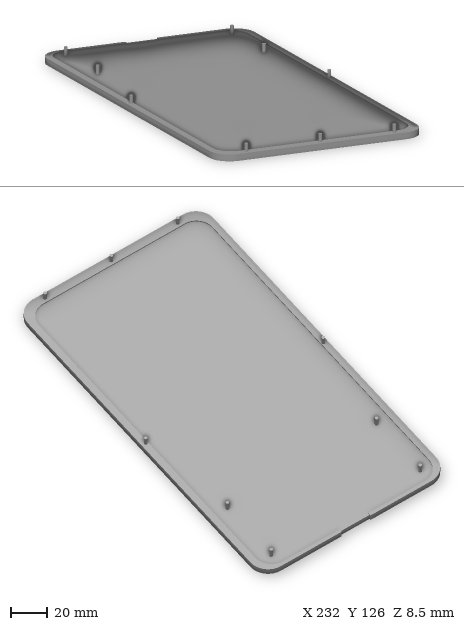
import cadquery as cq

length = 232.0
width = 126.0
total_height = 8.5
plate_thickness = 4.0
corner_radius = 12.0

recess_depth = 0.7
rim_left = 2.0
rim_right = 5.8
rim_side = 4.2
recess_radius = 11.0

notch_width = 19.5
notch_depth = 1.0
notch_lip_drop = 0.5

pin_diameter = 2.0
end_pin_x = length / 2 - 3.2
end_pin_spacing = 45.0
side_pin_x = -2.3
side_pin_y = width / 2 - 2.8
recess_pin_xs = (-106.3, -65.5)
recess_pin_y = 50.5


def rounded_block(size_x, size_y, height, radius):
    """Block standing on Z = 0 with rounded vertical edges."""
    return cq.Workplane("XY").rect(size_x, size_y).extrude(height).edges("|Z").fillet(radius)


def recess():
    size_x = length - rim_left - rim_right
    size_y = width - 2 * rim_side
    center_x = (rim_left - rim_right) / 2
    floor = plate_thickness - recess_depth
    return rounded_block(size_x, size_y, recess_depth, recess_radius).translate((center_x, 0, floor))


def edge_notch():
    return (
        cq.Workplane("XY")
        .center(-length / 2, 0)
        .rect(2 * notch_depth, notch_width)
        .extrude(plate_thickness)
    )


def lip_relief():
    return (
        cq.Workplane("XY", origin=(-length / 2, 0, plate_thickness - notch_lip_drop))
        .rect(2 * rim_left, notch_width)
        .extrude(notch_lip_drop)
    )


def pins():
    points = [(end_pin_x, row * end_pin_spacing) for row in (-1, 0, 1)]
    for side in (-1, 1):
        points.append((side_pin_x, side * side_pin_y))
        points += [(x, side * recess_pin_y) for x in recess_pin_xs]
    return cq.Workplane("XY").pushPoints(points).circle(pin_diameter / 2).extrude(total_height)


plate = rounded_block(length, width, plate_thickness, corner_radius)
result = plate.cut(recess()).cut(edge_notch()).cut(lip_relief()).union(pins())